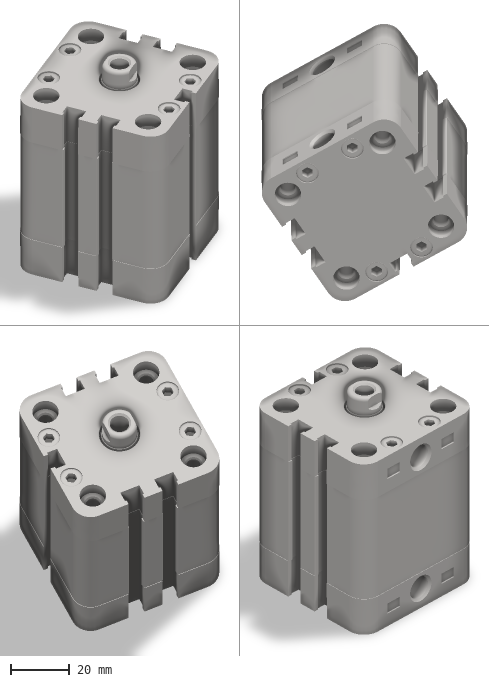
import cadquery as cq
import math


total_height = 77.0
body_height = 70.1
cap_height = 14.6
cap_side = 54.8
cap_draft_angle = 0.5
barrel_side = 54.5
straight_side = 41.1
bore_diameter = 40.0

slot_offset = 6.4
slot_floor_distance = 21.9
slot_lip_distance = 25.65
slot_clearance = 0.15
cap_slot_width = 7.15
cap_slot_mouth = 6.0
barrel_slot_mouth = 5.4
side_slot_mouth = 5.55

mount_pitch = 37.95
mount_counterbore_diameter = 9.0
mount_counterbore_depth = 5.0
mount_hole_diameter = 4.9
mount_countersink_diameter = 6.0

screw_x = 22.4
screw_y = 9.0
screw_hole_diameter = 7.7
screw_head_diameter = 7.5
screw_head_recess = 0.5
screw_head_chamfer = 0.15
hex_across_flats = 3.55
hex_depth = 3.1

port_from_end = 8.0
port_diameter = 8.55
port_mouth_diameter = 10.4

label_width = 6.15
label_height = 4.15
label_offset = 12.9
label_from_end = 7.3
label_depth = 0.6

rod_diameter = 12.0
rod_edge_fillet = 1.2
rod_flat_width = 10.0
rod_flat_bottom = 72.8
rod_bore_diameter = 6.6
rod_bore_mouth_diameter = 8.0
rod_bore_depth = 11.55
wiper_lip_diameter = 12.55
wiper_lip_base_diameter = 13.7
wiper_groove_diameter = 14.0
wiper_groove_mouth_diameter = 14.3
wiper_groove_depth = 3.1

four_signs = [(x, y) for x in (-1, 1) for y in (-1, 1)]
mount_points = [(x * mount_pitch / 2, y * mount_pitch / 2) for x, y in four_signs]
screw_points = [(x * screw_x, y * screw_y) for x, y in four_signs]


def rounded_square(side):
    """Square outline whose corner arcs leave the same straight length at any side."""
    corner_radius = (side - straight_side) / 2
    return cq.Sketch().rect(side, side).vertices().fillet(corner_radius)


def t_slot(height, width, mouth, floor_distance, mouth_chamfer=0.0):
    """Cutter for a T-slot that opens toward +Y, centred on x = 0."""
    outer_face = barrel_side / 2
    beyond_face = cap_side / 2 + 0.8
    half_width = width / 2
    half_mouth = mouth / 2
    half_flare = half_mouth + mouth_chamfer
    right_side = [
        (half_width, floor_distance),
        (half_width, slot_lip_distance),
        (half_mouth, slot_lip_distance),
    ]
    if mouth_chamfer:
        right_side.append((half_mouth, outer_face - mouth_chamfer))
        right_side.append((half_flare, outer_face))
    right_side.append((half_flare, beyond_face))
    left_side = [(-x, y) for x, y in reversed(right_side)]
    return cq.Workplane("XY").polyline(right_side + left_side).close().extrude(height)


def cut_t_slots(body, height, width, mouth, floor_distance, mouth_chamfer=0.0):
    """Two slots on the +Y and -Y sides and one plain-mouthed slot on the +X side."""
    pair_slot = t_slot(height, width, mouth, floor_distance, mouth_chamfer)
    for x in (-slot_offset, slot_offset):
        for turn in (0, 180):
            body = body.cut(pair_slot.translate((x, 0, 0)).rotate((0, 0, 0), (0, 0, 1), turn))
    side_slot = t_slot(height, width, side_slot_mouth, floor_distance)
    return body.cut(side_slot.rotate((0, 0, 0), (0, 0, 1), -90))


def cone(bottom_diameter, top_diameter, height):
    return cq.Workplane("XY").add(cq.Solid.makeCone(bottom_diameter / 2, top_diameter / 2, height))


def mount_hole():
    """Counterbored through hole with a countersunk lower step."""
    floor = cap_height - mount_counterbore_depth
    sink_depth = (mount_countersink_diameter - mount_hole_diameter) / 2
    hole = cq.Workplane("XY").circle(mount_hole_diameter / 2).extrude(cap_height)
    sink = cone(mount_hole_diameter, mount_countersink_diameter, sink_depth)
    counterbore = cq.Workplane("XY").circle(mount_counterbore_diameter / 2).extrude(mount_counterbore_depth)
    hole = hole.union(sink.translate((0, 0, floor - sink_depth)))
    return hole.union(counterbore.translate((0, 0, floor)))


def screw_recess():
    """Space around a sunk screw head with a chamfered rim and a hexagon socket."""
    head_top = cap_height - screw_head_recess
    chamfer_base = head_top - screw_head_chamfer
    recess = (
        cq.Workplane("XY", origin=(0, 0, chamfer_base))
        .circle(screw_hole_diameter / 2)
        .extrude(cap_height - chamfer_base)
    )
    head_rim_diameter = screw_head_diameter - 2 * screw_head_chamfer
    head = cone(screw_head_diameter, head_rim_diameter, screw_head_chamfer)
    hex_diameter = hex_across_flats / math.cos(math.pi / 6)
    socket = (
        cq.Workplane("XY", origin=(0, 0, head_top - hex_depth))
        .transformed(rotate=(0, 0, 30))
        .polygon(6, hex_diameter)
        .extrude(hex_depth)
    )
    return recess.cut(head.translate((0, 0, chamfer_base))).union(socket)


def air_port():
    """Chamfered port that runs inward from the -X side as far as the bore surface."""
    axis_height = cap_height - port_from_end
    chamfer = (port_mouth_diameter - port_diameter) / 2
    half_side = cap_side / 2
    port = cq.Workplane("YZ").circle(port_diameter / 2).extrude(-half_side)
    mouth = cone(port_mouth_diameter, port_diameter, chamfer).rotate((0, 0, 0), (0, 1, 0), 90)
    bore_core = cq.Workplane("XY").circle(bore_diameter / 2).extrude(cap_side, both=True)
    return port.union(mouth.translate((-half_side, 0, 0))).cut(bore_core).translate((0, 0, axis_height))


def label_pockets():
    """Pair of shallow rectangular pockets, one on each side of the port."""
    return (
        cq.Workplane("YZ", origin=(-cap_side / 2, 0, cap_height - label_from_end))
        .pushPoints([(-label_offset, 0), (label_offset, 0)])
        .rect(label_width, label_height)
        .extrude(label_depth)
    )


def end_cap():
    """End cap with its barrel face on z = 0 and its outer face up."""
    cap = cq.Workplane("XY").placeSketch(rounded_square(cap_side)).extrude(cap_height, taper=cap_draft_angle)
    cap = cut_t_slots(cap, cap_height, cap_slot_width, cap_slot_mouth, slot_floor_distance)
    for x, y in mount_points:
        cap = cap.cut(mount_hole().translate((x, y, 0)))
    for x, y in screw_points:
        cap = cap.cut(screw_recess().translate((x, y, 0)))
    return cap.cut(air_port()).cut(label_pockets())


def rod_opening():
    """Rod hole through the upper cap."""
    return cq.Workplane("XY").circle(rod_diameter / 2).extrude(cap_height)


def wiper_groove():
    """Groove that leaves a thin conical wiper lip around the rod; its outer rim is chamfered."""
    lip_radius = wiper_lip_diameter / 2
    lip_base_radius = wiper_lip_base_diameter / 2
    groove_radius = wiper_groove_diameter / 2
    mouth_radius = wiper_groove_mouth_diameter / 2
    rim_chamfer = mouth_radius - groove_radius
    profile = [
        (lip_radius, cap_height),
        (lip_base_radius, cap_height - wiper_groove_depth),
        (groove_radius, cap_height - wiper_groove_depth),
        (groove_radius, cap_height - rim_chamfer),
        (mouth_radius, cap_height),
    ]
    return cq.Workplane("XZ").polyline(profile).close().revolve(360, (0, 0, 0), (0, 1, 0))


def make_lower_cap():
    return end_cap().rotate((0, 0, 0), (1, 0, 0), 180).translate((0, 0, cap_height))


def make_upper_cap():
    cap = end_cap().cut(rod_opening()).cut(wiper_groove())
    return cap.translate((0, 0, body_height - cap_height))


def make_barrel():
    height = body_height - 2 * cap_height
    slot_width = cap_slot_width - 2 * slot_clearance
    floor_distance = slot_floor_distance + slot_clearance
    mouth_chamfer = (cap_slot_mouth - barrel_slot_mouth) / 2
    barrel = cq.Workplane("XY").placeSketch(rounded_square(barrel_side)).extrude(height)
    barrel = cut_t_slots(barrel, height, slot_width, barrel_slot_mouth, floor_distance, mouth_chamfer)
    return barrel.translate((0, 0, cap_height))


def rod_flat():
    """Cutter for one wrench flat on the +X side, ending in a 45-degree slope at the bottom."""
    flat_x = rod_flat_width / 2
    outer_x = rod_diameter / 2 + 0.8
    slope_drop = outer_x - flat_x
    profile = [
        (flat_x, rod_flat_bottom),
        (outer_x, rod_flat_bottom - slope_drop),
        (outer_x, total_height),
        (flat_x, total_height),
    ]
    return cq.Workplane("XZ").polyline(profile).close().extrude(rod_diameter, both=True)


def make_rod():
    """Rod that stands on the barrel, with a rounded top edge, two flats and a chamfered bore."""
    rod_base = body_height - cap_height
    rod = (
        cq.Workplane("XY", origin=(0, 0, rod_base))
        .circle(rod_diameter / 2)
        .extrude(total_height - rod_base)
        .faces(">Z").edges().fillet(rod_edge_fillet)
        .faces(">Z").workplane()
        .cskHole(rod_bore_diameter, rod_bore_mouth_diameter, 90, rod_bore_depth)
    )
    for turn in (0, 180):
        rod = rod.cut(rod_flat().rotate((0, 0, 0), (0, 0, 1), turn))
    return rod


lower_cap = make_lower_cap()
barrel = make_barrel()
upper_cap = make_upper_cap()
rod = make_rod()

result = cq.Compound.makeCompound([lower_cap.val(), barrel.val(), upper_cap.val(), rod.val()])